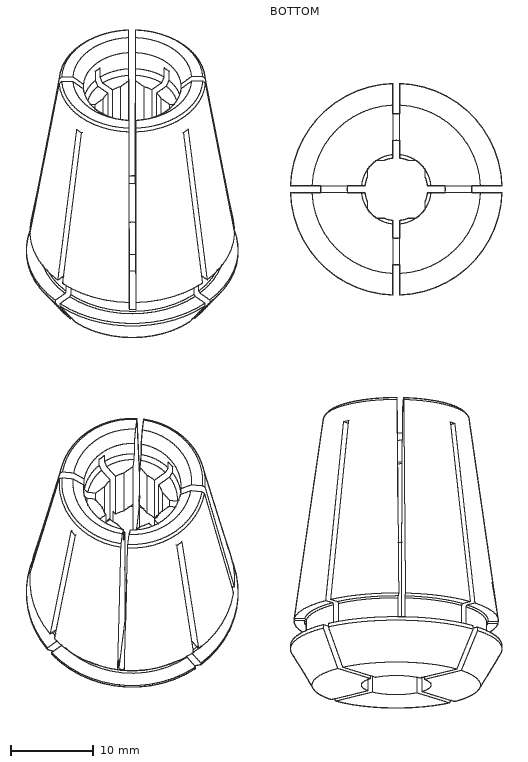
import cadquery as cq
import math

total_height = 34.0

flange_width = 25.8
flange_bottom_radius = 10.27
flange_top_z = 5.0
flange_rim_height = 0.45

groove_radius = 11.0
groove_corner = 0.2

taper_bottom_z = 8.13
taper_bottom_radius = 12.48
taper_top_radius = 8.9
top_chamfer_height = 0.35
top_face_radius = 8.6

counterbore_radius = 5.95
counterbore_chamfer = 1.3
counterbore_depth = 4.73
counterbore_floor_radius = 5.5
counterbore_floor_taper = 0.68

shank_radius = 4.25
square_side = 7.0
square_bulge_radius = 3.8
square_depth = 10.0

slit_width = 0.8
slit_length = 34.0
lower_slit_top_z = 31.5
upper_slit_floor_z = 5.5


def make_body():
    """Revolve the outer profile about Z."""
    flange_radius = math.hypot(flange_width / 2, slit_width / 2)
    outline = [
        (0, 0),
        (flange_bottom_radius, 0),
        (flange_radius, flange_top_z - flange_rim_height),
        (flange_radius, flange_top_z),
        (groove_radius + groove_corner, flange_top_z),
        (groove_radius, flange_top_z + groove_corner),
        (groove_radius, taper_bottom_z - groove_corner),
        (groove_radius + groove_corner, taper_bottom_z),
        (taper_bottom_radius, taper_bottom_z),
        (taper_top_radius, total_height - top_chamfer_height),
        (top_face_radius, total_height),
        (0, total_height),
    ]
    return cq.Workplane("XZ").polyline(outline).close().revolve(360, (0, 0), (0, 1))


def make_counterbore():
    """Chamfered recess at the top, narrowing just above its flat floor."""
    floor_z = total_height - counterbore_depth
    outline = [
        (0, floor_z),
        (counterbore_floor_radius, floor_z),
        (counterbore_radius, floor_z + counterbore_floor_taper),
        (counterbore_radius, total_height - counterbore_chamfer),
        (counterbore_radius + counterbore_chamfer, total_height),
        (0, total_height),
    ]
    return cq.Workplane("XZ").polyline(outline).close().revolve(360, (0, 0), (0, 1))


def make_bore():
    """Round bore below, and above it a square opening whose sides bulge along a circle."""
    square_top_z = total_height - counterbore_depth
    square_bottom_z = square_top_z - square_depth
    shank_bore = cq.Workplane("XY").circle(shank_radius).extrude(square_bottom_z)
    square_plane = cq.Workplane("XY").workplane(offset=square_bottom_z)
    square = square_plane.rect(square_side, square_side).extrude(square_depth)
    bulge = square_plane.circle(square_bulge_radius).extrude(square_depth)
    return shank_bore.union(square).union(bulge)


def make_slit(angle, bottom_z, top_z):
    """Slit across the full width of the part, turned about Z."""
    slit = cq.Workplane("XY").box(slit_length, slit_width, top_z - bottom_z, centered=(True, True, False))
    return slit.translate((0, 0, bottom_z)).rotate((0, 0, 0), (0, 0, 1), angle)


result = make_body().cut(make_counterbore()).cut(make_bore())

for angle in (0, 90):
    result = result.cut(make_slit(angle, 0, lower_slit_top_z))

for angle in (45, 135):
    result = result.cut(make_slit(angle, upper_slit_floor_z, total_height))